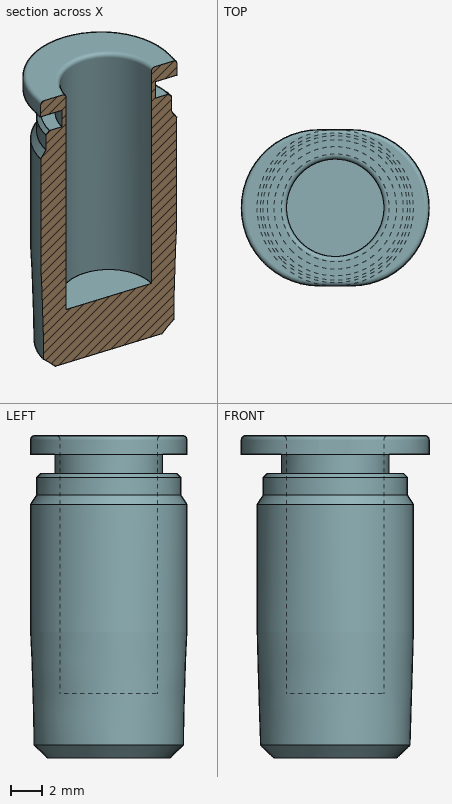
import cadquery as cq

total_height = 20.6
body_diameter = 10.0
flange_length = 12.0

body_radius = body_diameter / 2
tip_radius = 3.91
taper_bottom_radius = 4.78
tip_chamfer_height = 0.82
taper_top = 8.03

shoulder_bottom = 16.21
collar_bottom = 16.79
collar_top = 18.2
collar_radius = 4.61
collar_chamfer = 0.27
neck_radius = 3.45

flange_thickness = 1.2
flange_bottom = total_height - flange_thickness
flange_rounding = 0.29

bore_radius = 3.11
bore_depth = 16.48
bore_rounding = 0.29


def make_body():
    """Revolve the stepped, tapered body and its neck about Z."""
    return (
        cq.Workplane("XZ")
        .moveTo(0, 0)
        .lineTo(tip_radius, 0)
        .lineTo(taper_bottom_radius, tip_chamfer_height)
        .lineTo(body_radius, taper_top)
        .lineTo(body_radius, shoulder_bottom)
        .lineTo(collar_radius, collar_bottom)
        .lineTo(collar_radius, collar_top - collar_chamfer)
        .lineTo(collar_radius - collar_chamfer, collar_top)
        .lineTo(neck_radius, collar_top)
        .lineTo(neck_radius, flange_bottom)
        .lineTo(0, flange_bottom)
        .close()
        .revolve(360, (0, 0, 0), (0, 1, 0))
    )


def make_flange():
    """Make the oblong flange with its upper outer edge rounded."""
    return (
        cq.Workplane("XY")
        .workplane(offset=flange_bottom)
        .slot2D(flange_length, body_diameter)
        .extrude(flange_thickness)
        .faces(">Z")
        .edges()
        .fillet(flange_rounding)
    )


def cut_bore(part):
    """Cut the blind socket from the top and round its mouth."""
    bored = part.faces(">Z").workplane(origin=(0, 0, total_height)).circle(bore_radius).cutBlind(-bore_depth)
    mouth = bored.faces(">Z").edges(cq.selectors.RadiusNthSelector(0))
    return mouth.fillet(bore_rounding)


result = cut_bore(make_body().union(make_flange()))